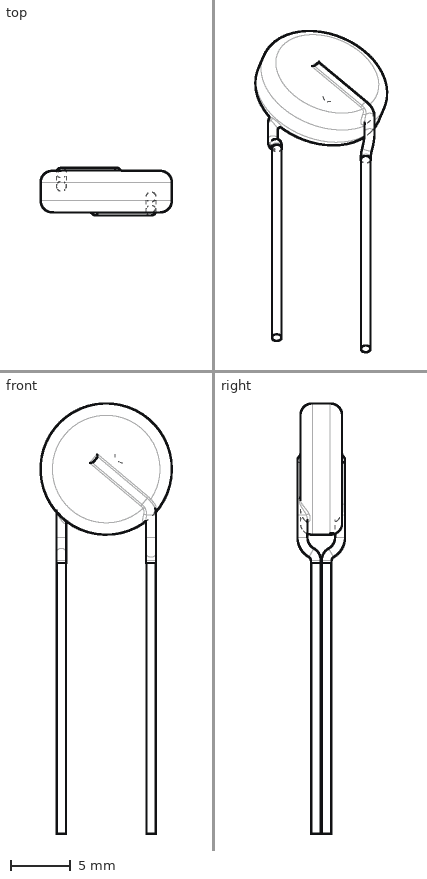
import cadquery as cq
import math

disc_diameter = 11.0
disc_thickness = 3.5
disc_edge_radius = 1.0

overall_height = 36.0
overall_depth = 4.0
lead_pitch = 7.5
coated_diameter = 0.85
bare_diameter = 0.8

face_bend_angle = 50.0
face_bend_radius = 1.5
face_bend_z = -3.85
face_run_length = 5.4
contact_fillet_radius = 0.2

kink_z = -5.7
kink_angle = 60.0
kink_upper_radius = 1.5
kink_lower_radius = 0.75
coating_stub = 0.2

lead_x = lead_pitch / 2
lead_face_y = -(overall_depth - coated_diameter) / 2
kink_rise = 1 - math.cos(math.radians(kink_angle))
kink_drop = math.sin(math.radians(kink_angle))
lead_pin_y = lead_face_y + (kink_upper_radius + kink_lower_radius) * kink_rise
coating_end_z = kink_z - (kink_upper_radius + kink_lower_radius) * kink_drop - coating_stub
lead_bottom_z = disc_diameter / 2 - overall_height


def make_disc():
    """Round body with both rims filleted."""
    back_face = cq.Workplane("XZ", origin=(0, disc_thickness / 2, 0))
    disc = back_face.circle(disc_diameter / 2).extrude(disc_thickness)
    return disc.edges().fillet(disc_edge_radius)


def polar(radius, angle):
    """Offsets across and along a bend that has turned by the given angle in degrees."""
    turn = math.radians(angle)
    return radius * (1 - math.cos(turn)), radius * math.sin(turn)


def make_lead_path():
    """Centreline of the coated part of the -Y lead, from its lower end to the tip on the face."""

    lower_dy, lower_dz = polar(kink_lower_radius, kink_angle)
    lower_mid_dy, lower_mid_dz = polar(kink_lower_radius, kink_angle / 2)
    upper_mid_dy, upper_mid_dz = polar(kink_upper_radius, kink_angle / 2)
    kink_bottom_z = coating_end_z + coating_stub
    stub_end = cq.Vector(lead_x, lead_pin_y, coating_end_z)
    kink_bottom = cq.Vector(lead_x, lead_pin_y, kink_bottom_z)
    kink_lower_mid = cq.Vector(lead_x, lead_pin_y - lower_mid_dy, kink_bottom_z + lower_mid_dz)
    kink_joint = cq.Vector(lead_x, lead_pin_y - lower_dy, kink_bottom_z + lower_dz)
    kink_upper_mid = cq.Vector(lead_x, lead_face_y + upper_mid_dy, kink_z - upper_mid_dz)
    kink_top = cq.Vector(lead_x, lead_face_y, kink_z)

    bend_dx, bend_dz = polar(face_bend_radius, face_bend_angle)
    bend_mid_dx, bend_mid_dz = polar(face_bend_radius, face_bend_angle / 2)
    run_direction = math.radians(face_bend_angle)
    bend_start = cq.Vector(lead_x, lead_face_y, face_bend_z)
    bend_mid = bend_start + cq.Vector(-bend_mid_dx, 0, bend_mid_dz)
    bend_end = bend_start + cq.Vector(-bend_dx, 0, bend_dz)
    run = cq.Vector(-math.sin(run_direction), 0, math.cos(run_direction)) * face_run_length
    tip = bend_end + run

    edges = [
        cq.Edge.makeLine(stub_end, kink_bottom),
        cq.Edge.makeThreePointArc(kink_bottom, kink_lower_mid, kink_joint),
        cq.Edge.makeThreePointArc(kink_joint, kink_upper_mid, kink_top),
        cq.Edge.makeLine(kink_top, bend_start),
        cq.Edge.makeThreePointArc(bend_start, bend_mid, bend_end),
        cq.Edge.makeLine(bend_end, tip),
    ]
    return cq.Wire.assembleEdges(edges)


def make_lead():
    """Complete -Y lead: coated bent wire on top of a straight bare pin."""
    pin_end = cq.Workplane("XY").workplane(offset=coating_end_z).center(lead_x, lead_pin_y)
    coated_wire = pin_end.circle(coated_diameter / 2).sweep(cq.Workplane(make_lead_path()))
    bare_pin = pin_end.circle(bare_diameter / 2).extrude(lead_bottom_z - coating_end_z)
    return coated_wire.union(bare_pin)


def find_contact_edges(body, disc, leads):
    """Edges of the joined body that lie on the disc and on a lead at once."""
    tolerance = 1e-4
    contact_edges = []
    for edge in body.edges().vals():
        middle = cq.Vertex.makeVertex(*edge.positionAt(0.5).toTuple())
        on_disc = disc.val().distance(middle) < tolerance
        on_lead = any(lead.val().distance(middle) < tolerance for lead in leads)
        if on_disc and on_lead:
            contact_edges.append(edge)
    return contact_edges


disc = make_disc()
front_lead = make_lead()
back_lead = front_lead.rotate((0, 0, 0), (0, 0, 1), 180)
body = disc.union(front_lead).union(back_lead)
contact_edges = find_contact_edges(body, disc, (front_lead, back_lead))
result = body.newObject(contact_edges).fillet(contact_fillet_radius)